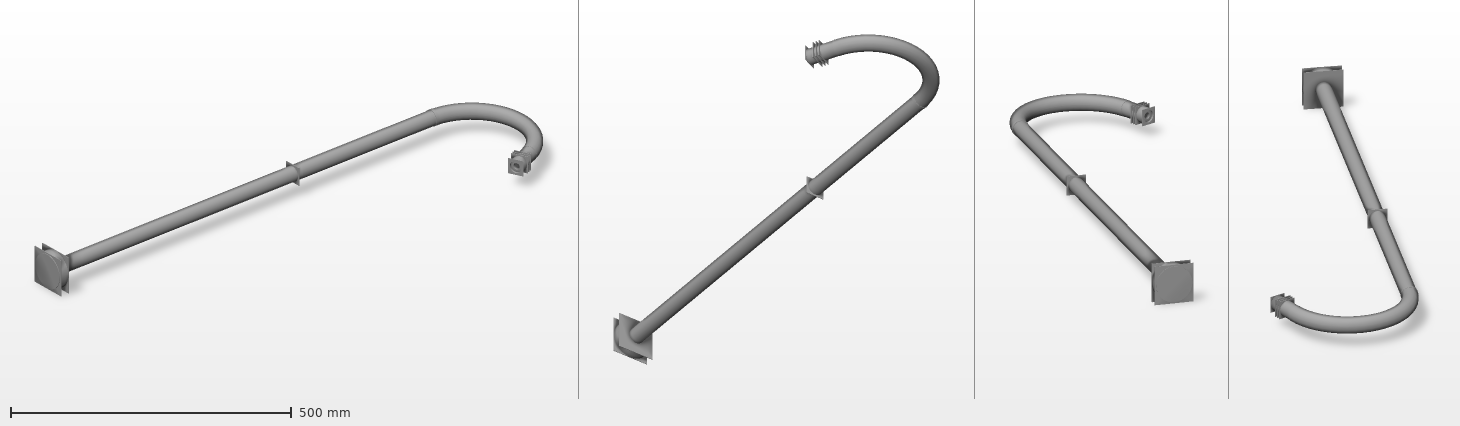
import cadquery as cq
import math


pipe_diameter = 30.0

flange_width = 72.0
flange_depth = 19.0
flange_pad_diameter = 67.0
plate_thickness = 1.0

collar_start = 564.0
collar_length = 18.0
collar_plate_offset = 6.0
joint_plate_width = 36.0

total_length = 1020
spout_diameter = 31.0
bend_radius = 112.0
bend_end_angle = 25
ring_length = 6.0
socket_diameter = 32.0
socket_length = 6.0
bend_start = total_length - bend_radius - spout_diameter / 2

nozzle_length = 50.0
nozzle_plate_count = 3
nozzle_plate_width = 34.0
first_nozzle_plate = 20.0
nozzle_plate_pitch = 6.0
end_plate_width = 31.0

outlet_diameter = 22.0
outlet_depth = 4.0
outlet_throat_diameter = 12.0
outlet_throat_depth = 10.0


def round_bar(plane, start, length, diameter):
    """A cylinder along the plane's normal, from start to start + length."""
    return cq.Workplane(plane).workplane(offset=start).circle(diameter / 2).extrude(length)


def square_plate(plane, start, width):
    """A thin square plate across the plane's normal, beginning at start."""
    return cq.Workplane(plane).workplane(offset=start).rect(width, width).extrude(plate_thickness)


riser_plane = cq.Plane(origin=(0, 0, 0), xDir=(1, 0, 0), normal=(0, 1, 0))
end_angle = math.radians(bend_end_angle)
tip_plane = cq.Plane(
    origin=(
        bend_radius * (1 + math.cos(end_angle)),
        bend_start + bend_radius * math.sin(end_angle),
        0,
    ),
    xDir=(0, 0, 1),
    normal=(math.sin(end_angle), -math.cos(end_angle), 0),
)


def make_flange():
    pad = round_bar(riser_plane, 0, plate_thickness, flange_pad_diameter)
    front_plate = square_plate(riser_plane, plate_thickness, flange_width)
    core = round_bar(riser_plane, plate_thickness, flange_depth - plate_thickness, flange_width)
    back_plate = square_plate(riser_plane, flange_depth - plate_thickness, flange_width)
    return pad.union(front_plate).union(core).union(back_plate)


def make_pipe(start, end):
    return round_bar(riser_plane, start, end - start, pipe_diameter)


def make_collar():
    sleeve = round_bar(riser_plane, collar_start, collar_length, pipe_diameter)
    return sleeve.union(square_plate(riser_plane, collar_start + collar_plate_offset, joint_plate_width))


def make_ring(plane, start):
    return round_bar(plane, start, ring_length, pipe_diameter)


def make_spout():
    """A bent pipe turning towards +X, with a slightly wider socket around its lower end."""
    profile = cq.Workplane(riser_plane).workplane(offset=bend_start).circle(spout_diameter / 2)
    bend = profile.revolve(180 - bend_end_angle, (bend_radius, 0), (bend_radius, 1))
    return bend.union(round_bar(riser_plane, bend_start, socket_length, socket_diameter))


def make_nozzle():
    """A round body with thin square plates around it and a stepped bore in its free end."""
    nozzle_end = ring_length + nozzle_length
    body = round_bar(tip_plane, ring_length, nozzle_length, pipe_diameter)
    for index in range(nozzle_plate_count):
        start = ring_length + first_nozzle_plate + index * nozzle_plate_pitch
        body = body.union(square_plate(tip_plane, start, nozzle_plate_width))
    body = body.union(square_plate(tip_plane, nozzle_end - plate_thickness, end_plate_width))
    outlet = round_bar(tip_plane, nozzle_end, -outlet_depth, outlet_diameter)
    throat = round_bar(tip_plane, nozzle_end, -outlet_throat_depth, outlet_throat_diameter)
    return body.cut(outlet).cut(throat)


flange = make_flange()
lower_pipe = make_pipe(flange_depth, collar_start)
collar = make_collar()
upper_pipe = make_pipe(collar_start + collar_length, bend_start - ring_length)
rings = [make_ring(riser_plane, bend_start - ring_length), make_ring(tip_plane, 0)]
spout = make_spout()
nozzle = make_nozzle()

result = cq.Compound.makeCompound(
    [flange.val(), lower_pipe.val(), collar.val(), upper_pipe.val(), spout.val(), nozzle.val()]
    + [ring.val() for ring in rings]
)